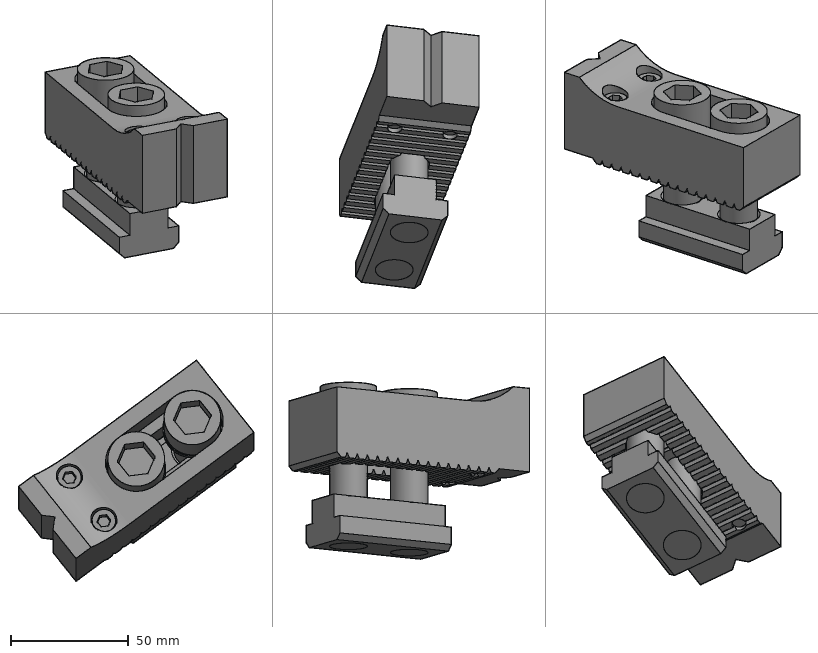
import cadquery as cq
import math

nut_length = 55
nut_start_x = 5
nut_base_width = 28
nut_neck_width = 18
nut_base_height = 10
nut_height = 20
nut_chamfer = 2.5
nut_hole_chamfer = 1

body_length = 95
body_width = 40
body_bottom_z = 34
body_top_z = 64
nose_top_z = 72
tooth_depth = 2
tooth_root_z = body_bottom_z + tooth_depth
tooth_pitch = 5
tooth_groove_count = 15
groove_half_width = 1
toothed_length = tooth_pitch * (tooth_groove_count + 1)
ramp_radius = 30
ramp_end_x = 87
notch_depth = 4

bolt_spacing = 30
bolt_first_x = 17.5
bolt_xs = [bolt_first_x, bolt_first_x + bolt_spacing]
bolt_diameter = 16
bolt_head_diameter = 24
bolt_head_height = 16
bolt_head_top_z = 68.5
bolt_flange_diameter = 25
bolt_flange_height = 2.5
bolt_seat_z = bolt_head_top_z - bolt_head_height - bolt_flange_height
bolt_hex_flats = 14
bolt_hex_depth = 8
bolt_slot_width = 17
head_slot_width = 26

screw_x = 74
screw_ys = [-12, 12]
screw_diameter = 6
screw_head_diameter = 10
screw_head_height = 6
screw_head_top_z = 63
screw_seat_z = screw_head_top_z - screw_head_height
screw_counterbore_diameter = 11
screw_hex_flats = 5
screw_hex_depth = 3


def cylinder(x, y, diameter, bottom_z, top_z):
    """Upright cylinder between two heights."""
    return cq.Workplane("XY", origin=(x, y, bottom_z)).circle(diameter / 2).extrude(top_z - bottom_z)


def slot_cutter(width, bottom_z, top_z):
    """Upright round-ended slot reaching around both clamp bolts."""
    middle_x = sum(bolt_xs) / len(bolt_xs)
    sketch = cq.Workplane("XY", origin=(middle_x, 0, bottom_z)).slot2D(bolt_spacing + width, width)
    return sketch.extrude(top_z - bottom_z)


def make_socket_screw(x, y, diameter, bottom_z, seat_z, head_diameter, top_z, hex_flats, hex_depth):
    """Cylinder-head screw with a hexagon socket, two socket flats facing along X."""
    shank = cylinder(x, y, diameter, bottom_z, seat_z)
    head = cylinder(x, y, head_diameter, seat_z, top_z)
    hex_corners = hex_flats / math.cos(math.pi / 6)
    socket = (
        cq.Workplane("XY", origin=(x, y, top_z))
        .transformed(rotate=(0, 0, 90))
        .polygon(6, hex_corners)
        .extrude(-hex_depth)
    )
    return shank.union(head).cut(socket)


def make_body():
    """Clamp body: toothed foot, raised nose with V notch, slot for the bolts and screw holes."""
    ramp_rise = nose_top_z - body_top_z
    ramp_run = math.sqrt(ramp_radius**2 - (ramp_radius - ramp_rise) ** 2)
    ramp_start_x = ramp_end_x - ramp_run
    half_angle = math.acos((ramp_radius - ramp_rise) / ramp_radius) / 2
    ramp_middle = (
        ramp_start_x + ramp_radius * math.sin(half_angle),
        body_top_z + ramp_radius * (1 - math.cos(half_angle)),
    )

    outline = cq.Workplane("XZ", origin=(0, body_width / 2, 0)).moveTo(0, tooth_root_z)
    outline = outline.lineTo(tooth_depth, body_bottom_z)
    for index in range(1, tooth_groove_count + 1):
        groove_x = index * tooth_pitch
        outline = (
            outline.lineTo(groove_x - groove_half_width, body_bottom_z)
            .lineTo(groove_x, tooth_root_z)
            .lineTo(groove_x + groove_half_width, body_bottom_z)
        )
    block = (
        outline.lineTo(toothed_length - tooth_depth, body_bottom_z)
        .lineTo(toothed_length, tooth_root_z)
        .lineTo(body_length, tooth_root_z)
        .lineTo(body_length, nose_top_z)
        .lineTo(ramp_end_x, nose_top_z)
        .threePointArc(ramp_middle, (ramp_start_x, body_top_z))
        .lineTo(0, body_top_z)
        .close()
        .extrude(body_width)
    )

    notch = (
        cq.Workplane("XY", origin=(0, 0, body_bottom_z))
        .moveTo(body_length - notch_depth, 0)
        .lineTo(body_length, notch_depth)
        .lineTo(body_length, -notch_depth)
        .close()
        .extrude(nose_top_z - body_bottom_z)
    )
    block = block.cut(notch)
    block = block.cut(slot_cutter(bolt_slot_width, body_bottom_z, body_top_z))
    block = block.cut(slot_cutter(head_slot_width, bolt_seat_z, body_top_z))

    for y in screw_ys:
        block = block.cut(cylinder(screw_x, y, screw_diameter, body_bottom_z, screw_seat_z))
        block = block.cut(cylinder(screw_x, y, screw_counterbore_diameter, screw_seat_z, nose_top_z))
    return block


def make_nut():
    """T-nut with two through holes, each countersunk at the top."""
    half_base = nut_base_width / 2
    half_neck = nut_neck_width / 2
    nut = (
        cq.Workplane("YZ", origin=(nut_start_x, 0, 0))
        .polyline(
            [
                (-half_base + nut_chamfer, 0),
                (half_base - nut_chamfer, 0),
                (half_base, nut_chamfer),
                (half_base, nut_base_height),
                (half_neck, nut_base_height),
                (half_neck, nut_height),
                (-half_neck, nut_height),
                (-half_neck, nut_base_height),
                (-half_base, nut_base_height),
                (-half_base, nut_chamfer),
            ]
        )
        .close()
        .extrude(nut_length)
    )
    for x in bolt_xs:
        hole = cylinder(x, 0, bolt_diameter, 0, nut_height)
        countersink = (
            cq.Workplane("XY", origin=(x, 0, nut_height))
            .circle(bolt_diameter / 2 + nut_hole_chamfer)
            .extrude(-nut_hole_chamfer, taper=45)
        )
        nut = nut.cut(hole).cut(countersink)
    return nut


def make_clamp_bolt(x):
    """Clamp bolt with a flange under its head; its shank ends flush with the nut's underside."""
    bolt = make_socket_screw(
        x, 0, bolt_diameter, 0, bolt_seat_z,
        bolt_head_diameter, bolt_head_top_z, bolt_hex_flats, bolt_hex_depth,
    )
    flange = cylinder(x, 0, bolt_flange_diameter, bolt_seat_z, bolt_seat_z + bolt_flange_height)
    return bolt.union(flange)


def make_nose_screw(y):
    """Small screw sunk into the ramp; its shank ends flush with the plain underside of the nose."""
    return make_socket_screw(
        screw_x, y, screw_diameter, tooth_root_z, screw_seat_z,
        screw_head_diameter, screw_head_top_z, screw_hex_flats, screw_hex_depth,
    )


body = make_body()
nut = make_nut()
bolts = [make_clamp_bolt(x) for x in bolt_xs]
nose_screws = [make_nose_screw(y) for y in screw_ys]

result = cq.Compound.makeCompound(
    [
        body.val(),
        nut.val(),
        *[bolt.val() for bolt in bolts],
        *[screw.val() for screw in nose_screws],
    ]
)